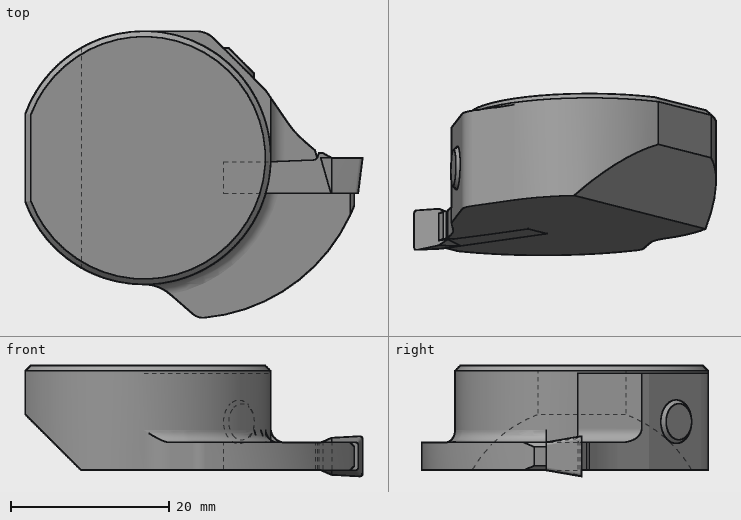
import cadquery as cq
import math

head_radius = 16.0
head_height = 13.23
head_chamfer = 0.7
flat_distance = 15.0
relief_leg = 7.05

lobe_height = 12.25
screw_flat_distance = 16.88
screw_flat_end_x = 15.36
lobe_corner_radius = 3.2
flank_corner = (19.03, 3.12)
flank_radius = 12.5
finger_end = (21.58, 0.95)
finger_tip_x = 21.85
finger_wall_x = head_radius
finger_fillet = 1.75

plate_thickness = 3.5
plate_arc_centre = (5.57, 2.26)
plate_arc_radius = 22.55
plate_end_x = 26.55
plate_end_chamfer = 0.55
plate_root_radius = 5.0
plate_edge_angle = math.radians(41)
plate_corner_radius = 1.95
plate_fillet = 1.55

screw_diameter = 5.5
screw_head_height = 0.47
screw_head_taper = 45

tip_x = 27.6
seat_y = -4.5
insert_back_x = 10.0
insert_back_y = -0.5
insert_front_y = -0.27
breaker_start_x = 22.05
breaker_width = 0.5
breaker_height = 0.62
edge_start_x = 23.67
edge_overhang = 0.825
edge_overhang_back = 0.6
flare_start_x = 22.29
front_clearance = 0.57
seat_overhang = 0.03
seat_back_overhang = 0.01
seat_flare_gap = 0.08
tip_corner_radius = 0.4


def make_head():
    """Round head with a flat on -X, a chamfered top rim and a 45 degree relief under the flat."""
    flat_cut = cq.Workplane("XY").box(
        head_radius, 2 * head_radius, head_height, centered=(False, True, False)
    ).translate((-flat_distance - head_radius, 0, 0))
    head = cq.Workplane("XY").circle(head_radius).extrude(head_height).cut(flat_cut)
    head = head.faces(">Z").chamfer(head_chamfer)
    relief = (
        cq.Workplane("XZ")
        .moveTo(-flat_distance, 0)
        .lineTo(-flat_distance + relief_leg, 0)
        .lineTo(-flat_distance, relief_leg)
        .close()
        .extrude(head_radius, both=True)
    )
    return head.cut(relief)


def make_lobe():
    """Full-height lobe with the screw flat, running out into the low clamp finger over the insert."""
    flat_sum = screw_flat_distance * math.sqrt(2)
    corner = (flat_sum - head_radius, head_radius)
    lobe = (
        cq.Workplane("XY")
        .moveTo(0, 0)
        .lineTo(0, head_radius)
        .lineTo(*corner)
        .lineTo(screw_flat_end_x, flat_sum - screw_flat_end_x)
        .lineTo(*flank_corner)
        .lineTo(*finger_end)
        .lineTo(finger_tip_x, 0)
        .lineTo(finger_end[0], insert_front_y)
        .lineTo(finger_wall_x, insert_back_y)
        .lineTo(0, insert_back_y)
        .close()
        .extrude(lobe_height)
    )
    lobe = lobe.edges(cq.NearestToPointSelector((*corner, lobe_height / 2))).fillet(lobe_corner_radius)
    lobe = lobe.edges(cq.NearestToPointSelector((*flank_corner, lobe_height / 2))).fillet(flank_radius)

    fillet_mid = finger_fillet * (1 - math.sqrt(0.5))
    above_finger = (
        cq.Workplane("XZ")
        .moveTo(finger_wall_x, lobe_height)
        .lineTo(finger_wall_x, plate_thickness + finger_fillet)
        .threePointArc(
            (finger_wall_x + fillet_mid, plate_thickness + fillet_mid),
            (finger_wall_x + finger_fillet, plate_thickness),
        )
        .lineTo(tip_x, plate_thickness)
        .lineTo(tip_x, lobe_height)
        .close()
        .extrude(head_radius, both=True)
    )
    return lobe.cut(above_finger)


def make_plate():
    """Thin plate under the insert, blended into the head by a ring fillet."""
    centre_x, centre_y = plate_arc_centre

    root_x = plate_root_radius * math.sin(plate_edge_angle)
    root_y = -head_radius - plate_root_radius * (1 - math.cos(plate_edge_angle))
    mid_x = plate_root_radius * math.sin(plate_edge_angle / 2)
    mid_y = -head_radius - plate_root_radius * (1 - math.cos(plate_edge_angle / 2))
    edge_x = math.cos(plate_edge_angle)
    edge_y = -math.sin(plate_edge_angle)
    along = (root_x - centre_x) * edge_x + (root_y - centre_y) * edge_y
    gap_squared = (root_x - centre_x) ** 2 + (root_y - centre_y) ** 2 - plate_arc_radius ** 2
    edge_length = -along + math.sqrt(along ** 2 - gap_squared)
    corner = (root_x + edge_length * edge_x, root_y + edge_length * edge_y)

    end_angle = -math.acos((plate_end_x - centre_x) / plate_arc_radius)
    corner_angle = math.atan2(corner[1] - centre_y, corner[0] - centre_x)
    middle_angle = (end_angle + corner_angle) / 2

    def on_arc(angle):
        return (
            centre_x + plate_arc_radius * math.cos(angle),
            centre_y + plate_arc_radius * math.sin(angle),
        )

    outline = (
        cq.Workplane("XY")
        .moveTo(0, seat_y)
        .lineTo(0, -head_radius)
        .threePointArc((mid_x, mid_y), (root_x, root_y))
        .lineTo(*corner)
        .threePointArc(on_arc(middle_angle), on_arc(end_angle))
        .lineTo(plate_end_x, seat_y)
        .close()
        .extrude(plate_thickness + plate_fillet)
    )
    outline = outline.edges(cq.NearestToPointSelector((*corner, plate_thickness / 2))).fillet(
        plate_corner_radius
    )

    fillet_mid = plate_fillet * (1 - math.sqrt(0.5))
    section = (
        cq.Workplane("XZ")
        .moveTo(0, 0)
        .lineTo(2 * head_radius, 0)
        .lineTo(2 * head_radius, plate_thickness)
        .lineTo(head_radius + plate_fillet, plate_thickness)
        .threePointArc(
            (head_radius + fillet_mid, plate_thickness + fillet_mid),
            (head_radius, plate_thickness + plate_fillet),
        )
        .lineTo(0, plate_thickness + plate_fillet)
        .close()
        .revolve(360, (0, 0, 0), (0, 1, 0))
    )
    plate = outline.intersect(section)
    return plate.faces(">X").edges("|Y").chamfer(plate_end_chamfer)


def make_screw_head():
    """Low conical screw head, seated on the screw flat at half the lobe height."""
    offset = screw_flat_distance / math.sqrt(2)
    seat = cq.Plane(origin=(offset, offset, lobe_height / 2), xDir=(0, 0, 1), normal=(1, 1, 0))
    return cq.Workplane(seat).circle(screw_diameter / 2).extrude(screw_head_height, taper=screw_head_taper)


def make_insert():
    """Cutting insert: flush shank with a chip breaker, and a wider tapered cutting head."""
    shank = (
        cq.Workplane("XY")
        .moveTo(insert_back_x, seat_y)
        .lineTo(edge_start_x, seat_y)
        .lineTo(edge_start_x, 0)
        .lineTo(breaker_start_x + breaker_width, breaker_height)
        .lineTo(breaker_start_x, breaker_height)
        .lineTo(finger_tip_x, 0)
        .lineTo(finger_end[0], insert_front_y)
        .lineTo(finger_wall_x, insert_back_y)
        .lineTo(insert_back_x, insert_back_y)
        .close()
        .extrude(plate_thickness)
    )

    def head_outline(flare_x, back_x, front_x, back_overhang, front_overhang):
        return [
            (flare_x, 0),
            (back_x, -back_overhang),
            (front_x, -front_overhang),
            (front_x, plate_thickness + front_overhang),
            (back_x, plate_thickness + back_overhang),
            (flare_x, plate_thickness),
        ]

    rake = head_outline(flare_start_x, edge_start_x, tip_x, edge_overhang_back, edge_overhang)
    seat = head_outline(
        edge_start_x - seat_flare_gap, edge_start_x, tip_x - front_clearance,
        seat_back_overhang, seat_overhang,
    )
    cutting_head = (
        cq.Workplane("XZ").polyline(rake).close()
        .workplane(offset=-seat_y).polyline(seat).close()
        .loft(ruled=True)
    )
    front_x = tip_x - front_clearance / 2
    for z in (-edge_overhang / 2, plate_thickness + edge_overhang / 2):
        corner = cq.NearestToPointSelector((front_x, seat_y / 2, z))
        cutting_head = cutting_head.edges(corner).fillet(tip_corner_radius)
    return shank.union(cutting_head)


insert = make_insert()
holder = make_head().union(make_lobe()).union(make_plate()).union(make_screw_head()).cut(insert)

result = cq.Compound.makeCompound([holder.val(), insert.val()])